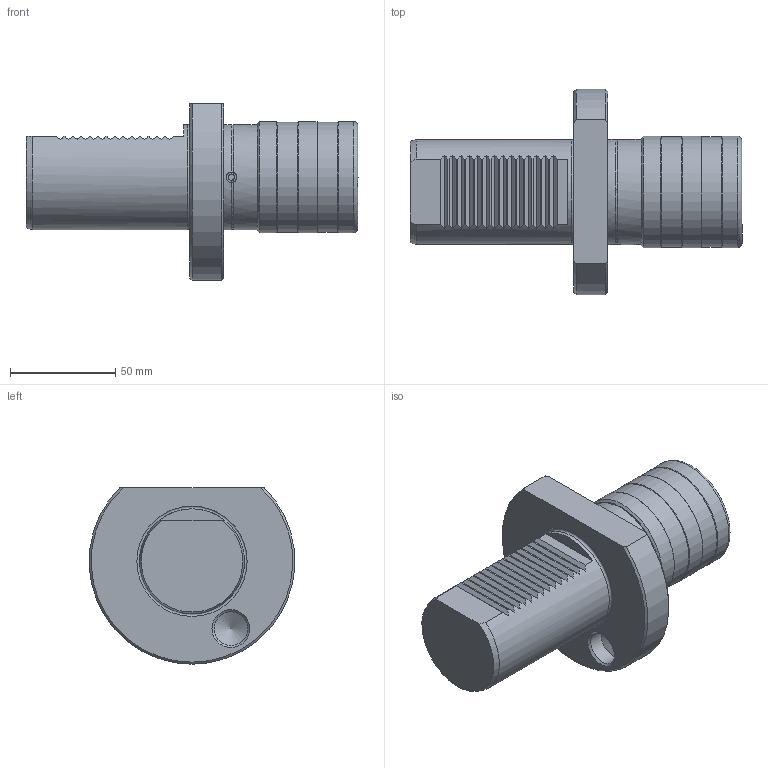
import cadquery as cq
import math


SHANK_DIAMETER = 50.0
SHANK_RADIUS = SHANK_DIAMETER / 2
SHANK_CHAMFER_LENGTH = 3.0
SHANK_CHAMFER_DEPTH = 0.8
FLAT_HEIGHT = 19.5
FLAT_END_X = 75.0
TOOTH_PITCH = 4.0
TOOTH_GAP_COUNT = 14
TOOTH_GAP_DEPTH = 1.7
FIRST_GAP_X = 16.3
GAP_HALF_ANGLE = 45.0

FLANGE_DIAMETER = 98.0
FLANGE_RADIUS = FLANGE_DIAMETER / 2
FLANGE_START_X = 78.0
FLANGE_WIDTH = 16.0
FLANGE_END_X = FLANGE_START_X + FLANGE_WIDTH
FLANGE_CHAMFER = 1.0
FLANGE_FLAT_HEIGHT = 35.0

UNDERCUT_START_X = FLANGE_START_X - 1.0
UNDERCUT_SAGITTA = 0.9
UNDERCUT_FACE_DIAMETER = 52.5

LOCATING_HOLE_DIAMETER = 16.0
LOCATING_HOLE_CHAMFER = 1.0
LOCATING_HOLE_DEPTH = 8.0
LOCATING_CIRCLE_RADIUS = 37.0
LOCATING_ANGLE = 240.0
DRILL_POINT_ANGLE = 118.0

NECK_RADIUS = SHANK_RADIUS
NECK_GROOVE_X = 98.3
NECK_GROOVE_WIDTH = 1.0
NECK_GROOVE_DEPTH = 0.15

SCREW_X = 97.75
SCREW_HOLE_DIAMETER = 5.0
SCREW_DIAMETER = 4.9
SCREW_LENGTH = 4.0
SCREW_SOCKET_DIAMETER = 2.9
SCREW_SOCKET_DEPTH = 1.5

HEAD_RADIUS = 53.0 / 2
BAND_RADIUS = 52.5 / 2
BAND_STEP = HEAD_RADIUS - BAND_RADIUS
HEAD_START_X = 110.0
HEAD_CHAMFER = 1.0
HEAD_END_X = 157.9
HEAD_END_FILLET = 2.0
BAND_SPANS = ((119.5, 129.5), (138.75, 148.5))

MARK_HEIGHT = 0.1
MARK_WIDTH = 0.2
MARK_LENGTH = 9.0
MARK_OUTER_RADIUS = HEAD_RADIUS - HEAD_END_FILLET


def make_turned_body():
    """Revolve the whole turned outline, given as (x, radius), about the X axis."""
    groove_start_x = NECK_GROOVE_X - NECK_GROOVE_WIDTH / 2
    groove_end_x = NECK_GROOVE_X + NECK_GROOVE_WIDTH / 2
    fillet_midpoint = HEAD_END_FILLET * (1 - math.sqrt(0.5))

    outline = (
        cq.Workplane("XY")
        .lineTo(0, SHANK_RADIUS - SHANK_CHAMFER_DEPTH)
        .lineTo(SHANK_CHAMFER_LENGTH, SHANK_RADIUS)
        .lineTo(UNDERCUT_START_X, SHANK_RADIUS)
        .sagittaArc((FLANGE_START_X, UNDERCUT_FACE_DIAMETER / 2), -UNDERCUT_SAGITTA)
        .lineTo(FLANGE_START_X, FLANGE_RADIUS - FLANGE_CHAMFER)
        .lineTo(FLANGE_START_X + FLANGE_CHAMFER, FLANGE_RADIUS)
        .lineTo(FLANGE_END_X - FLANGE_CHAMFER, FLANGE_RADIUS)
        .lineTo(FLANGE_END_X, FLANGE_RADIUS - FLANGE_CHAMFER)
        .lineTo(FLANGE_END_X, NECK_RADIUS)
        .lineTo(groove_start_x, NECK_RADIUS)
        .threePointArc((NECK_GROOVE_X, NECK_RADIUS - NECK_GROOVE_DEPTH), (groove_end_x, NECK_RADIUS))
        .lineTo(HEAD_START_X, NECK_RADIUS)
        .lineTo(HEAD_START_X, HEAD_RADIUS - HEAD_CHAMFER)
        .lineTo(HEAD_START_X + HEAD_CHAMFER, HEAD_RADIUS)
    )
    for start_x, end_x in BAND_SPANS:
        outline = (
            outline
            .lineTo(start_x - BAND_STEP, HEAD_RADIUS)
            .lineTo(start_x, BAND_RADIUS)
            .lineTo(end_x - BAND_STEP, BAND_RADIUS)
            .lineTo(end_x, HEAD_RADIUS)
        )
    outline = (
        outline
        .lineTo(HEAD_END_X - HEAD_END_FILLET, HEAD_RADIUS)
        .threePointArc(
            (HEAD_END_X - fillet_midpoint, HEAD_RADIUS - fillet_midpoint),
            (HEAD_END_X, HEAD_RADIUS - HEAD_END_FILLET),
        )
        .lineTo(HEAD_END_X, 0)
        .close()
    )
    return outline.revolve(360, (0, 0, 0), (1, 0, 0))


def make_space_above(height, start_x, end_x):
    """Block that clears everything above a height between two X positions."""
    return cq.Workplane("XY").box(
        end_x - start_x, FLANGE_DIAMETER, FLANGE_RADIUS, centered=(False, True, False)
    ).translate((start_x, 0, height))


def make_tooth_gaps():
    """V-shaped gaps across the shank flat."""
    half_width = TOOTH_GAP_DEPTH * math.tan(math.radians(GAP_HALF_ANGLE))
    gap = (
        cq.Workplane("XZ")
        .moveTo(-half_width, FLAT_HEIGHT)
        .lineTo(0, FLAT_HEIGHT - TOOTH_GAP_DEPTH)
        .lineTo(half_width, FLAT_HEIGHT)
        .close()
        .extrude(SHANK_RADIUS, both=True)
    )
    gaps = cq.Workplane("XY")
    for index in range(TOOTH_GAP_COUNT):
        gaps = gaps.add(gap.translate((FIRST_GAP_X + index * TOOTH_PITCH, 0, 0)))
    return gaps.combine()


def make_locating_hole():
    """Chamfered drill shape entering the flange from the shank side."""
    radius = LOCATING_HOLE_DIAMETER / 2
    point_length = radius / math.tan(math.radians(DRILL_POINT_ANGLE / 2))
    angle = math.radians(LOCATING_ANGLE)
    drill = (
        cq.Workplane("XY")
        .lineTo(0, radius + LOCATING_HOLE_CHAMFER)
        .lineTo(LOCATING_HOLE_CHAMFER, radius)
        .lineTo(LOCATING_HOLE_DEPTH, radius)
        .lineTo(LOCATING_HOLE_DEPTH + point_length, 0)
        .close()
        .revolve(360, (0, 0, 0), (1, 0, 0))
    )
    center_y = LOCATING_CIRCLE_RADIUS * math.cos(angle)
    center_z = LOCATING_CIRCLE_RADIUS * math.sin(angle)
    return drill.translate((FLANGE_START_X, center_y, center_z))


def make_screw_recess():
    """Clearance ring around the flush screw, and the screw's socket."""
    side = cq.Workplane("XZ", origin=(SCREW_X, -NECK_RADIUS, 0))
    ring = side.circle(SCREW_HOLE_DIAMETER / 2).circle(SCREW_DIAMETER / 2).extrude(-SCREW_LENGTH)
    socket = side.circle(SCREW_SOCKET_DIAMETER / 2).extrude(-SCREW_SOCKET_DEPTH)
    return ring.union(socket)


def make_index_mark():
    """Thin radial rib on the end face of the head."""
    return cq.Workplane("XY").box(
        MARK_HEIGHT, MARK_LENGTH, MARK_WIDTH, centered=(False, False, True)
    ).translate((HEAD_END_X, -MARK_OUTER_RADIUS, 0))


result = (
    make_turned_body()
    .cut(make_space_above(FLAT_HEIGHT, 0, FLAT_END_X))
    .cut(make_tooth_gaps())
    .cut(make_space_above(FLANGE_FLAT_HEIGHT, FLANGE_START_X, FLANGE_END_X))
    .cut(make_locating_hole())
    .cut(make_screw_recess())
    .union(make_index_mark())
)